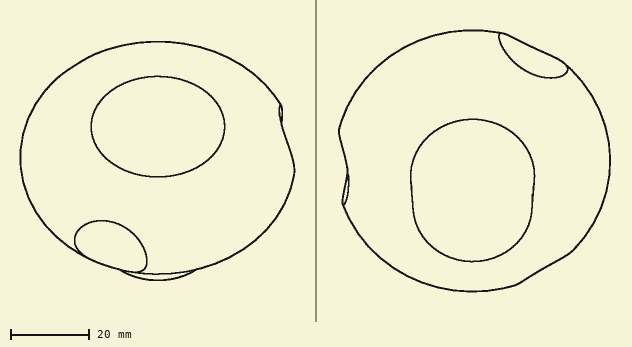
import cadquery as cq
import math

head_diameter = 69.95
total_height = 44.0
stem_length = 21.0

rim_radius = 13.0
dish_diameter = 33.9
lower_edge_radius = 2.8
lower_edge_height = 1.05

stem_top_diameter = 31.5
stem_end_diameter = 30.15
stem_end_fillet = 1.55

scallop_count = 3
scallop_diameter = 50.0
scallop_floor_distance = 31.55
first_scallop_angle = -90.0

ring_radius = head_diameter / 2 - rim_radius
rim_center_height = total_height - rim_radius
dish_radius = dish_diameter / 2


def rim_offset(across):
    """Remaining leg of the rim section circle for a given leg."""
    return math.sqrt(rim_radius**2 - across**2)


def make_head():
    """Revolve the rim, its rounded lower edge and the dish floor."""
    dish_height = rim_center_height + rim_offset(ring_radius - dish_radius)
    edge_height = stem_length + lower_edge_height
    edge_radius = ring_radius + rim_offset(rim_center_height - edge_height)
    edge_run = math.sqrt(lower_edge_radius**2 - (lower_edge_radius - lower_edge_height) ** 2)
    underside_radius = edge_radius - edge_run
    half_angle = math.acos(1 - lower_edge_height / lower_edge_radius) / 2
    edge_middle = (
        underside_radius + lower_edge_radius * math.sin(half_angle),
        stem_length + lower_edge_radius * (1 - math.cos(half_angle)),
    )
    return (
        cq.Workplane("XZ")
        .moveTo(0, stem_length)
        .lineTo(underside_radius, stem_length)
        .threePointArc(edge_middle, (edge_radius, edge_height))
        .threePointArc((head_diameter / 2, rim_center_height), (dish_radius, dish_height))
        .lineTo(0, dish_height)
        .close()
        .revolve(360, (0, 0, 0), (0, 1, 0))
    )


def make_stem():
    """Tapered round stem with a rounded lower end."""
    return (
        cq.Workplane("XY")
        .circle(stem_end_diameter / 2)
        .workplane(offset=stem_length)
        .circle(stem_top_diameter / 2)
        .loft()
        .faces("<Z")
        .edges()
        .fillet(stem_end_fillet)
    )


def make_scallops():
    """Upright cylinders that cut the finger scallops."""
    return (
        cq.Workplane("XY")
        .workplane(offset=stem_length)
        .polarArray(
            scallop_floor_distance + scallop_diameter / 2,
            first_scallop_angle,
            360,
            scallop_count,
        )
        .circle(scallop_diameter / 2)
        .extrude(total_height - stem_length)
    )


result = make_head().cut(make_scallops()).union(make_stem())